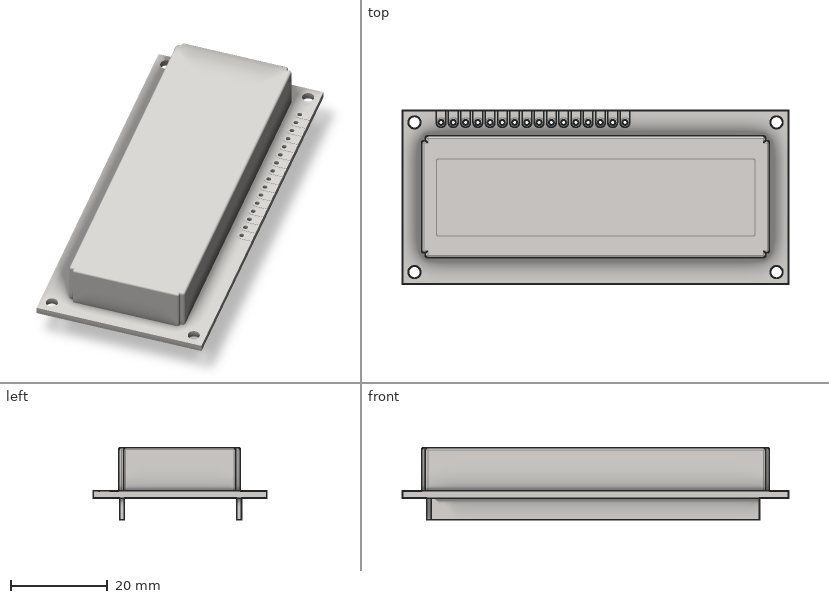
import cadquery as cq

BOARD_LENGTH = 80.0
BOARD_WIDTH = 36.0
BOARD_THICKNESS = 1.5

MOUNT_HOLE_DIAMETER = 2.5
MOUNT_HOLE_INSET = 2.5

BEZEL_LENGTH = 72.0
BEZEL_WIDTH = 25.2
BEZEL_HEIGHT = 9.0
BEZEL_OFFSET_Y = 0.1
NOTCH_X = 0.75
NOTCH_Y = 1.0
LONG_SIDE_RADIUS = 0.5
END_SIDE_RADIUS = 0.4

WINDOW_LENGTH = 66.0
WINDOW_WIDTH = 16.0
WINDOW_CORNER_RADIUS = 0.5
WINDOW_DEPTH = 1.0

PAD_COUNT = 16
PAD_PITCH = 2.54
PAD_WIDTH = 2.0
PAD_THICKNESS = 0.1
PAD_HOLE_DIAMETER = 1.0
PAD_HOLE_EDGE_DISTANCE = 2.5
FIRST_PAD_X = -32.0

BAR_THICKNESS = 1.0
BAR_HEIGHT = 4.5
BAR_RIGHT_END = 34.0
FRONT_BAR_LEFT_END = -34.0
REAR_BAR_LEFT_END = -35.0
FRONT_BAR_OUTER_Y = -12.75
REAR_BAR_OUTER_Y = 12.5

PAD_HOLE_Y = BOARD_WIDTH / 2 - PAD_HOLE_EDGE_DISTANCE
PAD_CENTRES = [(FIRST_PAD_X + i * PAD_PITCH, PAD_HOLE_Y) for i in range(PAD_COUNT)]


def make_board():
    """Flat rectangular board with a through hole near each corner."""
    hole_spacing_x = BOARD_LENGTH - 2 * MOUNT_HOLE_INSET
    hole_spacing_y = BOARD_WIDTH - 2 * MOUNT_HOLE_INSET
    board = cq.Workplane("XY").rect(BOARD_LENGTH, BOARD_WIDTH).extrude(-BOARD_THICKNESS)
    holes = (
        cq.Workplane("XY")
        .rarray(hole_spacing_x, hole_spacing_y, 2, 2)
        .circle(MOUNT_HOLE_DIAMETER / 2)
        .extrude(-BOARD_THICKNESS)
    )
    return board.cut(holes)


def make_rounded_block(length, width, radius):
    """Block of bezel height with its upright and top edges rounded."""
    return (
        cq.Workplane("XY")
        .rect(length, width)
        .extrude(BEZEL_HEIGHT)
        .edges("|Z or >Z")
        .fillet(radius)
    )


def make_bezel():
    """Two crossing rounded blocks, which leave a small notch at each corner."""
    long_sides = make_rounded_block(BEZEL_LENGTH - 2 * NOTCH_X, BEZEL_WIDTH, LONG_SIDE_RADIUS)
    end_sides = make_rounded_block(BEZEL_LENGTH, BEZEL_WIDTH - 2 * NOTCH_Y, END_SIDE_RADIUS)
    return long_sides.union(end_sides).translate((0, BEZEL_OFFSET_Y, 0))


def make_window():
    """Display pane set into the bezel, flush with its top."""
    return (
        cq.Workplane("XY", origin=(0, 0, BEZEL_HEIGHT))
        .rect(WINDOW_LENGTH, WINDOW_WIDTH)
        .extrude(-WINDOW_DEPTH)
        .edges("|Z")
        .fillet(WINDOW_CORNER_RADIUS)
    )


def make_pad(centre):
    """Thin trace from the rear board edge, ending in a round land."""
    x, y = centre
    land = cq.Workplane("XY").center(x, y).circle(PAD_WIDTH / 2).extrude(PAD_THICKNESS)
    trace = (
        cq.Workplane("XY")
        .center(x, y + PAD_HOLE_EDGE_DISTANCE / 2)
        .rect(PAD_WIDTH, PAD_HOLE_EDGE_DISTANCE)
        .extrude(PAD_THICKNESS)
    )
    return trace.union(land, clean=False)


def make_pad_holes():
    """Pins that cut the pad holes through pads and board."""
    return (
        cq.Workplane("XY", origin=(0, 0, -BOARD_THICKNESS))
        .pushPoints(PAD_CENTRES)
        .circle(PAD_HOLE_DIAMETER / 2)
        .extrude(BOARD_THICKNESS + PAD_THICKNESS)
    )


def make_bar(left_end, front_y):
    """Bar hanging below the board."""
    length = BAR_RIGHT_END - left_end
    bar = cq.Workplane("XY").box(length, BAR_THICKNESS, BAR_HEIGHT, centered=False)
    return bar.translate((left_end, front_y, -BOARD_THICKNESS - BAR_HEIGHT))


result = make_board().union(make_bezel())
result = result.union(make_bar(FRONT_BAR_LEFT_END, FRONT_BAR_OUTER_Y))
result = result.union(make_bar(REAR_BAR_LEFT_END, REAR_BAR_OUTER_Y - BAR_THICKNESS))

result = result.union(make_window(), clean=False)
for pad_centre in PAD_CENTRES:
    result = result.union(make_pad(pad_centre), clean=False)
result = result.cut(make_pad_holes(), clean=False)